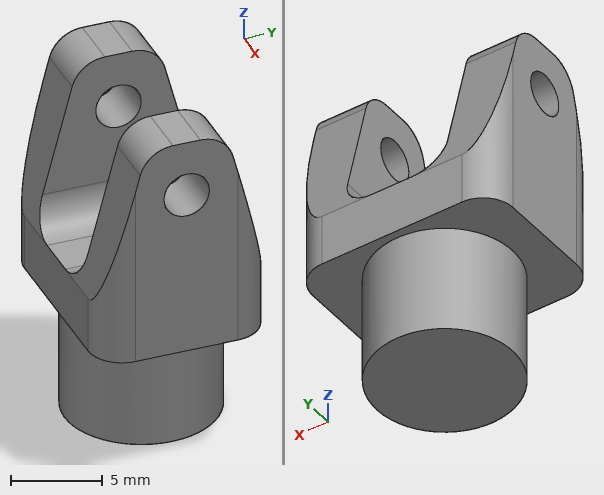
import cadquery as cq
import math

total_height = 20.33
head_width = 13.34
head_depth = 10.0

shank_diameter = 9.0
shank_height = 7.03
block_height = 3.33
head_height = total_height - shank_height
shoulder_z = shank_height + block_height
corner_radius = 2.0

slot_width = head_width / 2
slot_corner_radius = 2.0
taper_angle = 15
ear_tip_radius = 2.0
pin_diameter = 2.66
pin_below_top = 3.33


def make_shank():
    return cq.Workplane("XY").circle(shank_diameter / 2).extrude(shank_height)


def make_head_block():
    """Full-height block with rounded vertical corners."""
    return (
        cq.Workplane("XY")
        .workplane(offset=shank_height)
        .rect(head_width, head_depth)
        .extrude(head_height)
        .edges("|Z")
        .fillet(corner_radius)
    )


def make_ear_envelope():
    """Side outline: straight below the shoulder, tapered above, with a rounded tip."""
    half_depth = head_depth / 2
    taper_run = (total_height - shoulder_z) * math.tan(math.radians(taper_angle))
    tip_half_depth = half_depth - taper_run
    return (
        cq.Workplane("YZ")
        .moveTo(-half_depth, shank_height)
        .lineTo(half_depth, shank_height)
        .lineTo(half_depth, shoulder_z)
        .lineTo(tip_half_depth, total_height)
        .lineTo(-tip_half_depth, total_height)
        .lineTo(-half_depth, shoulder_z)
        .close()
        .extrude(head_width / 2, both=True)
        .edges("|X and >Z")
        .fillet(ear_tip_radius)
    )


def make_slot():
    """Gap between the ears, with rounded floor corners."""
    slot_height = total_height - shoulder_z
    return (
        cq.Workplane("XY")
        .workplane(offset=shoulder_z)
        .rect(slot_width, head_depth)
        .extrude(slot_height)
        .edges("|Y and <Z")
        .fillet(slot_corner_radius)
    )


def make_pin_hole():
    return (
        cq.Workplane("YZ")
        .center(0, total_height - pin_below_top)
        .circle(pin_diameter / 2)
        .extrude(head_width / 2, both=True)
    )


head = make_head_block().intersect(make_ear_envelope())
fork = head.cut(make_slot()).cut(make_pin_hole())
result = fork.union(make_shank())